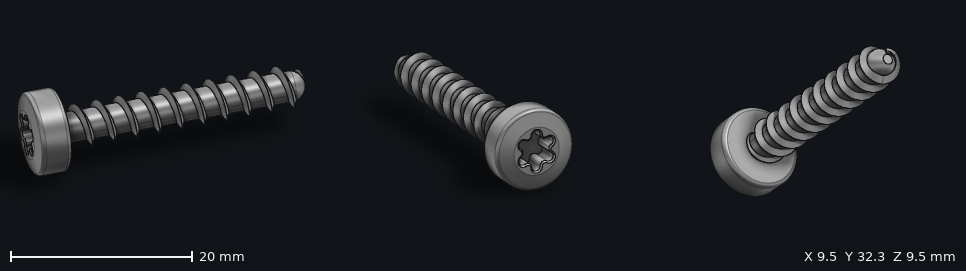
import cadquery as cq
import math

total_length = 32.25

head_radius = 9.5 / 2
head_height = 3.8
shoulder_fillet = 0.48
flat_radius = 2.77
dome_radius = 4.45
dome_height = 0.35
rim_height = 0.8
dome_sphere_radius = (dome_radius**2 - flat_radius**2 + dome_height**2) / (2 * dome_height)

core_radius = 1.75
core_end = 32.15
tip_start = 30.72
tip_flat_radius = 0.58
tip_bulge = (1.35, 31.55)

crest_radius = 2.48
root_radius = 1.6
crest_width = 0.03
flank_angle = 30.0
full_start = 5.42
full_end = 30.8
full_turns = 9.75
pitch = (full_end - full_start) / full_turns
full_start_angle = 180.0
head_fade_turns = 0.75
head_fade_slope = 0.35
tip_fade_turns = 0.53
tip_fade_slope = -0.7
tip_bevel_radius = 0.95
tip_bevel_angle = 28.0

lobe_count = 6
lobe_tip = 2.35
lobe_radius = 0.5
valley_depth_radius = 1.58
drive_depth = 2.9
drive_chamfer = 0.2


def make_head():
    """Pan head with a flat-topped dome and rounded edges."""
    rim_width = head_radius - dome_radius
    rim_drop = rim_height - dome_height
    rim_radius = (rim_width**2 + rim_drop**2) / (2 * rim_width)
    rim_half_angle = math.asin(rim_drop / rim_radius) / 2
    rim_mid = (
        head_radius - rim_radius * (1 - math.cos(rim_half_angle)),
        rim_height - rim_radius * math.sin(rim_half_angle),
    )
    dome_mid_radius = (flat_radius + dome_radius) / 2
    sphere_center = math.sqrt(dome_sphere_radius**2 - flat_radius**2)
    dome_mid_y = sphere_center - math.sqrt(dome_sphere_radius**2 - dome_mid_radius**2)
    outline = (
        cq.Workplane("XY")
        .lineTo(flat_radius, 0)
        .threePointArc((dome_mid_radius, dome_mid_y), (dome_radius, dome_height))
        .threePointArc(rim_mid, (head_radius, rim_height))
        .lineTo(head_radius, head_height)
        .lineTo(0, head_height)
        .close()
    )
    head = outline.revolve(360, (0, 0, 0), (0, 1, 0))
    return head.faces(">Y").edges().fillet(shoulder_fillet)


def make_core():
    """Plain round core, starting inside the head."""
    core_start = head_height - shoulder_fillet
    return (
        cq.Workplane("XY")
        .moveTo(0, core_start)
        .lineTo(core_radius, core_start)
        .lineTo(core_radius, tip_start)
        .threePointArc(tip_bulge, (tip_flat_radius, core_end))
        .lineTo(0, core_end)
        .close()
        .revolve(360, (0, 0, 0), (0, 1, 0))
    )


def make_thread(start, start_angle, turns, start_crest, slope):
    """Stretch of thread whose radius changes by slope per unit of length."""
    cone_angle = math.degrees(math.atan(slope)) if slope else 360
    slant = math.sqrt(1 + slope**2)
    tooth_height = crest_radius - root_radius
    half_crest = crest_width / 2
    half_root = half_crest + tooth_height * math.tan(math.radians(flank_angle))
    start_root = start_crest - tooth_height
    corners = [
        (start_root, -half_root),
        (start_crest, -half_crest),
        (start_crest, half_crest),
        (start_root, half_root),
    ]
    helices = [
        cq.Wire.makeHelix(pitch * slant, pitch * turns * slant, radius, angle=cone_angle)
        .translate(cq.Vector(0, 0, offset))
        for radius, offset in corners
    ]
    faces = []
    for i, helix in enumerate(helices):
        faces.append(cq.Face.makeRuledSurface(helices[i - 1], helix))
    for position in (0, 1):
        points = [helix.positionAt(position) for helix in helices]
        faces.append(cq.Face.makeFromWires(cq.Wire.makePolygon(points, close=True)))
    thread = cq.Solid.makeSolid(cq.Shell.makeShell(faces)).fix()
    return (
        cq.Workplane(thread)
        .rotate((0, 0, 0), (0, 0, 1), start_angle)
        .rotate((0, 0, 0), (1, 0, 0), -90)
        .translate((0, start, 0))
    )


def make_tip_limit():
    """Bevelled envelope that trims the thread at the tip of the screw."""
    bevel_drop = (crest_radius - tip_bevel_radius) * math.tan(math.radians(tip_bevel_angle))
    return (
        cq.Workplane("XY")
        .lineTo(crest_radius, 0)
        .lineTo(crest_radius, total_length - bevel_drop)
        .lineTo(tip_bevel_radius, total_length)
        .lineTo(0, total_length)
        .close()
        .revolve(360, (0, 0, 0), (0, 1, 0))
    )


def polar(radius, angle):
    return radius * math.cos(math.radians(angle)), radius * math.sin(math.radians(angle))


def drive_outline():
    """Star of tangent arcs with a lobe pointing to each of +Z and -Z."""
    half_step = 180 / lobe_count
    lobe_center = lobe_tip - lobe_radius
    cosine = math.cos(math.radians(half_step))
    valley_radius = (
        lobe_center**2 + valley_depth_radius**2
        - 2 * lobe_center * valley_depth_radius * cosine - lobe_radius**2
    ) / (2 * (lobe_radius + lobe_center * cosine - valley_depth_radius))
    valley_center = valley_depth_radius + valley_radius
    valley_x, valley_y = polar(valley_center, half_step)
    share = lobe_radius / (lobe_radius + valley_radius)
    joint_x = lobe_center + share * (valley_x - lobe_center)
    joint_y = share * valley_y
    joint_radius = math.hypot(joint_x, joint_y)
    joint_angle = math.degrees(math.atan2(joint_y, joint_x))

    outline = cq.Workplane("XZ").moveTo(*polar(joint_radius, 90 - joint_angle))
    for i in range(lobe_count):
        lobe = 90 + 2 * half_step * i
        outline = outline.threePointArc(polar(lobe_tip, lobe), polar(joint_radius, lobe + joint_angle))
        outline = outline.threePointArc(
            polar(valley_depth_radius, lobe + half_step),
            polar(joint_radius, lobe + 2 * half_step - joint_angle),
        )
    return outline.close()


def make_drive():
    """Drive recess with a chamfered mouth."""
    recess = drive_outline().extrude(-drive_depth)
    mouth = drive_outline().offset2D(drive_chamfer).extrude(-drive_chamfer, taper=45)
    return recess.union(mouth)


head_fade_length = head_fade_turns * pitch
full_thread = make_thread(full_start, full_start_angle, full_turns, crest_radius, 0)
head_fade = make_thread(
    full_start - head_fade_length,
    full_start_angle - 360 * head_fade_turns,
    head_fade_turns,
    crest_radius - head_fade_slope * head_fade_length,
    head_fade_slope,
)
tip_fade = make_thread(
    full_end, full_start_angle + 360 * full_turns, tip_fade_turns, crest_radius, tip_fade_slope
)

tip_fade = tip_fade.intersect(make_tip_limit())

screw = make_core().union(full_thread).union(head_fade).union(tip_fade)
result = screw.union(make_head()).cut(make_drive())